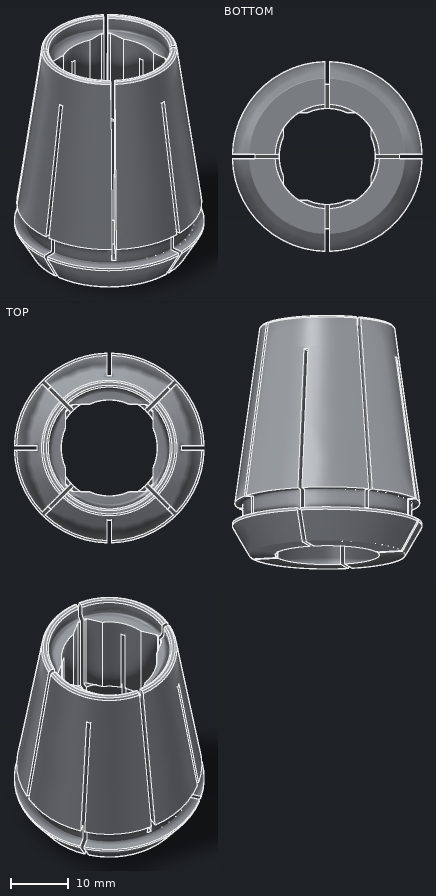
import cadquery as cq
import math

height = 40.0
rim_z = 5.05
flange_z = 5.5
cone_z = 9.05
counterbore_z = 37.1
square_z = 20.0

flange_radius = 16.4
neck_radius = 14.6
cone_radius = 16.0
front_angle = 30.0
cone_angle = 8.0

end_chamfer = 0.3
edge_fillet = 0.15

shank_radius = 9.0
square_side = 15.05
relief_radius = 8.3
drive_corner_radius = 9.9
counterbore_radius = 10.5
counterbore_fillet = 0.8

slit_width = 0.7
front_slit_top = 34.1
back_slit_floor = 6.0


def make_body():
    """Solid of revolution with both tapers, the nut groove and the flange."""
    front_radius = flange_radius - rim_z * math.tan(math.radians(front_angle))
    shoulder_z = height - end_chamfer
    shoulder_radius = cone_radius - (shoulder_z - cone_z) * math.tan(math.radians(cone_angle))
    profile = [
        (0, 0),
        (front_radius, 0),
        (flange_radius, rim_z),
        (flange_radius, flange_z),
        (neck_radius, flange_z),
        (neck_radius, cone_z),
        (cone_radius, cone_z),
        (shoulder_radius, shoulder_z),
        (shoulder_radius - end_chamfer, height),
        (0, height),
    ]
    body = cq.Workplane("XZ").polyline(profile).close().revolve(360, (0, 0), (0, 1))
    nut_end_edge = cq.selectors.RadiusNthSelector(2)
    neck_corners = cq.selectors.RadiusNthSelector(3)
    return body.edges(nut_end_edge + neck_corners).fillet(edge_fillet)


def cylinder(radius, bottom, top):
    """Cylinder on the part axis between two heights."""
    return cq.Workplane("XY").workplane(offset=bottom).circle(radius).extrude(top - bottom)


def make_bore():
    """Shank bore, square drive with round relief, and filleted recess."""
    shank = cylinder(shank_radius, 0, square_z)
    relief = cylinder(relief_radius, square_z, counterbore_z)
    square = (
        cq.Workplane("XY")
        .workplane(offset=square_z)
        .rect(square_side, square_side)
        .extrude(counterbore_z - square_z)
    )
    drive = square.intersect(cylinder(drive_corner_radius, square_z, counterbore_z))
    recess = cylinder(counterbore_radius, counterbore_z, height).faces("<Z").edges().fillet(counterbore_fillet)
    mouth = cq.Workplane("XY").add(
        cq.Solid.makeCone(
            counterbore_radius,
            counterbore_radius + end_chamfer,
            end_chamfer,
            cq.Vector(0, 0, height - end_chamfer),
        )
    )
    return shank.union(relief).union(drive).union(recess).union(mouth)


def crossed_slits(bottom, top, angle):
    """Two perpendicular thin plates through the axis, giving four slits."""
    plate_length = 2 * flange_radius + slit_width
    plane = cq.Workplane("XY").workplane(offset=bottom)
    along_x = plane.rect(plate_length, slit_width).extrude(top - bottom)
    along_y = plane.rect(slit_width, plate_length).extrude(top - bottom)
    return along_x.union(along_y).rotate((0, 0, 0), (0, 0, 1), angle)


front_slits = crossed_slits(0, front_slit_top, 0)
back_slits = crossed_slits(back_slit_floor, height, 45)

result = make_body().cut(make_bore()).cut(front_slits).cut(back_slits)